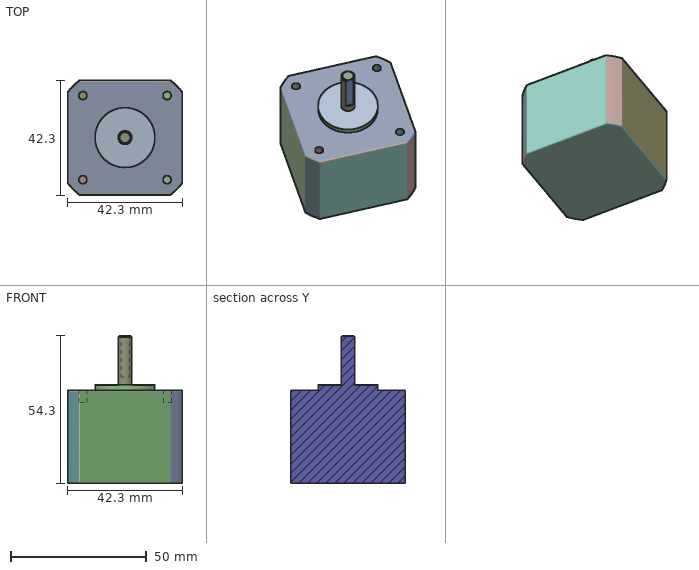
import cadquery as cq

body_width = 42.3
body_height = 34.3
corner_diameter = 54.0
edge_radius = 0.5

boss_diameter = 22.05
boss_height = 1.95

total_height = 54.3
shaft_diameter = 5.0
shaft_chamfer = 0.5
flat_depth = 0.5
flat_length = 15.0

hole_spacing = 31.0
hole_diameter = 3.0
hole_depth = 4.5


def make_body():
    """Square block with corners turned to a cylinder and all outer edges rounded."""
    block = cq.Workplane("XY").box(body_width, body_width, body_height, centered=(True, True, False))
    corner_cylinder = cq.Workplane("XY").circle(corner_diameter / 2).extrude(body_height)
    return block.intersect(corner_cylinder).edges().fillet(edge_radius)


def make_boss():
    return cq.Workplane("XY").workplane(offset=body_height).circle(boss_diameter / 2).extrude(boss_height)


def make_shaft():
    """Round shaft, chamfered at the tip, with a flat over its upper length."""
    shaft = (
        cq.Workplane("XY")
        .workplane(offset=body_height)
        .circle(shaft_diameter / 2)
        .extrude(total_height - body_height)
        .faces(">Z")
        .chamfer(shaft_chamfer)
    )
    flat_cutter = cq.Workplane("XY").box(
        shaft_diameter, shaft_diameter, flat_length, centered=(True, False, False)
    )
    flat_y = shaft_diameter / 2 - flat_depth
    return shaft.cut(flat_cutter.translate((0, flat_y, total_height - flat_length)))


def make_mounting_holes():
    """Four blind holes running down from the top face."""
    return (
        cq.Workplane("XY")
        .workplane(offset=body_height)
        .rect(hole_spacing, hole_spacing, forConstruction=True)
        .vertices()
        .circle(hole_diameter / 2)
        .extrude(-hole_depth)
    )


result = make_body().cut(make_mounting_holes()).union(make_boss()).union(make_shaft())